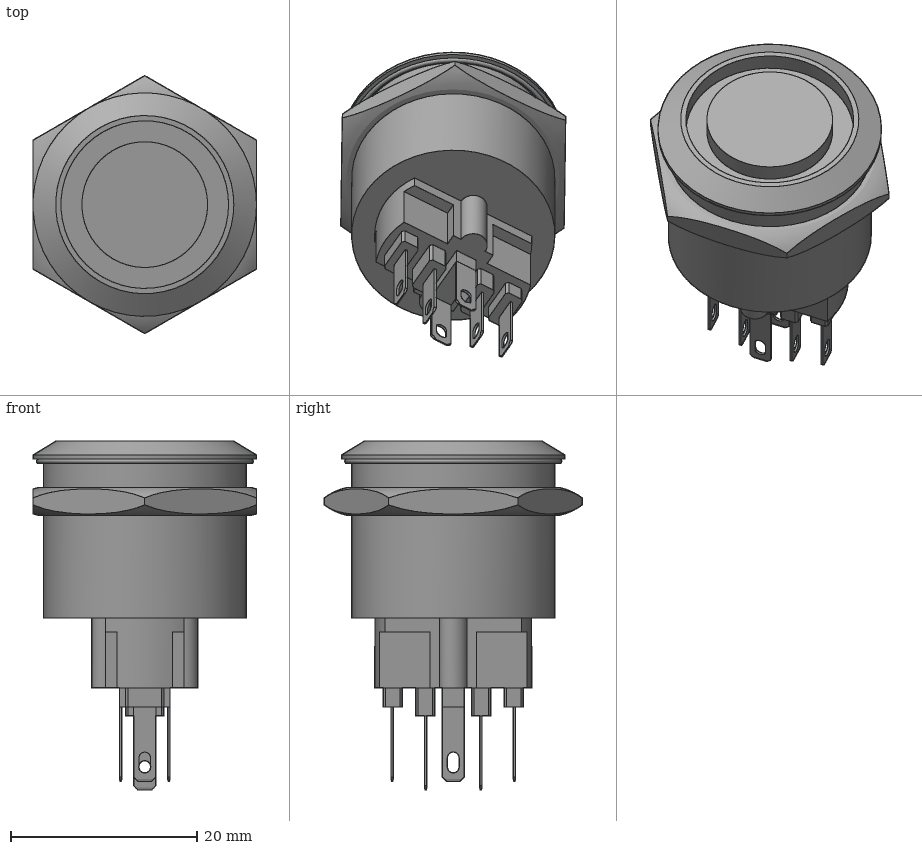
import cadquery as cq
import math


head_diameter = 24.0
rim_diameter = 19.12
cone_height = 1.5
head_edge_height = 0.45
barrel_diameter = 21.82
barrel_bottom = -19.0
recess_diameter = 18.0
recess_depth = 2.0

button_diameter = 13.5

gasket_diameter = 23.32
gasket_thickness = 0.5

nut_across_flats = 24.0
nut_thickness = 3.0
nut_top = -5.0
nut_face_diameter = 22.88
nut_corner_drop = 1.12
nut_crown_radius = 12.5
nut_crown_drop = 0.35

block_diameter = 16.88
block_width = 8.4
block_length = 7.5
rib_radius = 1.5
notch_floor_x = 2.95
notch_wall_y = 2.48
notch_top_gap = 1.5

collar_width = 4.12
collar_thickness = 2.05
collar_chamfer = 0.25
outer_collar_y = 6.5
inner_collar_y = 3.0
outer_collar_length = 2.05
inner_collar_length = 3.0
bar_length = 5.45

blade_length = 8.0
blade_width = 2.4
blade_thickness = 0.25
blade_corner = 0.5
blade_bevel_height = 0.25
blade_bevel_depth = 0.08
slot_width = 1.25
slot_length = 2.2
slot_tip_gap = 0.95
outer_blade_y = 6.55
inner_blade_y = 2.95

head_bottom = -cone_height - head_edge_height
block_bottom = barrel_bottom - block_length
outer_collar_bottom = block_bottom - outer_collar_length
inner_collar_bottom = block_bottom - inner_collar_length
bar_blade_x = bar_length / 2 - blade_thickness / 2


def cylinder(diameter, bottom, top):
    """Upright cylinder on the Z axis between two heights."""
    return cq.Workplane("XY").workplane(offset=bottom).circle(diameter / 2).extrude(top - bottom)


def box(x_size, y_size, bottom, top):
    """Upright box centred on the Z axis between two heights."""
    return cq.Workplane("XY").workplane(offset=bottom).rect(x_size, y_size).extrude(top - bottom)


def make_head_and_barrel():
    profile = [
        (0, 0),
        (rim_diameter / 2, 0),
        (head_diameter / 2, -cone_height),
        (head_diameter / 2, head_bottom),
        (barrel_diameter / 2, head_bottom),
        (barrel_diameter / 2, barrel_bottom),
        (0, barrel_bottom),
    ]
    solid = cq.Workplane("XZ").polyline(profile).close().revolve(360, (0, 0), (0, 1))
    return solid.cut(cylinder(recess_diameter, -recess_depth, 0))


def make_rear_block():
    """Round block with two flat sides, a round rib on each flat and a notch beside each rib."""
    block = cylinder(block_diameter, block_bottom, barrel_bottom)
    block = block.intersect(box(block_width, block_diameter, block_bottom, barrel_bottom))
    for side in (-1, 1):
        rib = cylinder(2 * rib_radius, block_bottom, barrel_bottom)
        block = block.union(rib.translate((side * block_width / 2, 0, 0)))
    notch = box(block_diameter, block_diameter, block_bottom, barrel_bottom - notch_top_gap)
    for x_side in (-1, 1):
        for y_side in (-1, 1):
            x_place = x_side * (notch_floor_x + block_diameter / 2)
            y_place = y_side * (notch_wall_y + block_diameter / 2)
            block = block.cut(notch.translate((x_place, y_place, 0)))
    return block


def make_collar(y_place, bottom):
    collar = box(collar_width, collar_thickness, bottom, block_bottom)
    return collar.edges("|Z").chamfer(collar_chamfer).translate((0, y_place, 0))


def make_housing():
    housing = make_head_and_barrel().union(make_rear_block())
    for side in (-1, 1):
        housing = housing.union(make_collar(side * outer_collar_y, outer_collar_bottom))
        housing = housing.union(make_collar(side * inner_collar_y, inner_collar_bottom))
    return housing.union(box(bar_length, blade_width, outer_collar_bottom, block_bottom))


def make_button():
    return cylinder(button_diameter, -recess_depth, 0)


def make_gasket():
    """O-ring of round section that touches the underside of the head."""
    ring_radius = (gasket_diameter - gasket_thickness) / 2
    section = cq.Workplane("XZ").center(ring_radius, head_bottom - gasket_thickness / 2)
    section = section.circle(gasket_thickness / 2)
    return section.revolve(360, (-ring_radius, 0), (-ring_radius, 1))


def make_nut():
    """Hexagonal nut whose corners are rounded down by turning on both faces."""
    nut_bottom = nut_top - nut_thickness
    corner_radius = nut_across_flats / 2 / math.cos(math.radians(30))
    hexagon = cq.Workplane("XY").workplane(offset=nut_bottom).polygon(6, 2 * corner_radius)
    nut = hexagon.extrude(nut_thickness).rotate((0, 0, 0), (0, 0, 1), 30)
    turned = (
        cq.Workplane("XZ")
        .moveTo(0, nut_top)
        .lineTo(nut_face_diameter / 2, nut_top)
        .threePointArc(
            (nut_crown_radius, nut_top - nut_crown_drop),
            (corner_radius, nut_top - nut_corner_drop),
        )
        .lineTo(corner_radius, nut_bottom + nut_corner_drop)
        .threePointArc(
            (nut_crown_radius, nut_bottom + nut_crown_drop),
            (nut_face_diameter / 2, nut_bottom),
        )
        .lineTo(0, nut_bottom)
        .close()
        .revolve(360, (0, 0), (0, 1))
    )
    return nut.intersect(turned).cut(cylinder(barrel_diameter, nut_bottom, nut_top))


def make_terminal():
    """Blade hanging from the origin, thin along Y, with its tip bevelled on both faces."""
    half_thickness = blade_thickness / 2
    side_profile = [
        (-half_thickness, 0),
        (half_thickness, 0),
        (half_thickness, -blade_length + blade_bevel_height),
        (half_thickness - blade_bevel_depth, -blade_length),
        (-half_thickness + blade_bevel_depth, -blade_length),
        (-half_thickness, -blade_length + blade_bevel_height),
    ]
    blade = cq.Workplane("YZ").polyline(side_profile).close().extrude(blade_width / 2, both=True)
    half_width = blade_width / 2
    outline = [
        (-half_width, 0),
        (half_width, 0),
        (half_width, -blade_length + blade_corner),
        (half_width - blade_corner, -blade_length),
        (-half_width + blade_corner, -blade_length),
        (-half_width, -blade_length + blade_corner),
    ]
    blade = blade.intersect(cq.Workplane("XZ").polyline(outline).close().extrude(blade_thickness, both=True))
    slot_centre_z = -blade_length + slot_tip_gap + slot_length / 2
    slot = cq.Workplane("XZ").center(0, slot_centre_z).slot2D(slot_length, slot_width, 90)
    return blade.cut(slot.extrude(blade_thickness, both=True))


def place_terminal(turn, distance, top):
    """Terminal moved out along -Y and then turned about the Z axis by an angle in degrees."""
    terminal = make_terminal().translate((0, -distance, top))
    return terminal.rotate((0, 0, 0), (0, 0, 1), turn)


terminals = []
for turn in (0, 180):
    terminals.append(place_terminal(turn, outer_blade_y, outer_collar_bottom))
    terminals.append(place_terminal(turn, inner_blade_y, inner_collar_bottom))
    terminals.append(place_terminal(turn + 90, bar_blade_x, outer_collar_bottom))

housing = make_housing()
button = make_button()
gasket = make_gasket()
nut = make_nut()

result = cq.Compound.makeCompound(
    [housing.val(), button.val(), gasket.val(), nut.val(), *[terminal.val() for terminal in terminals]]
)